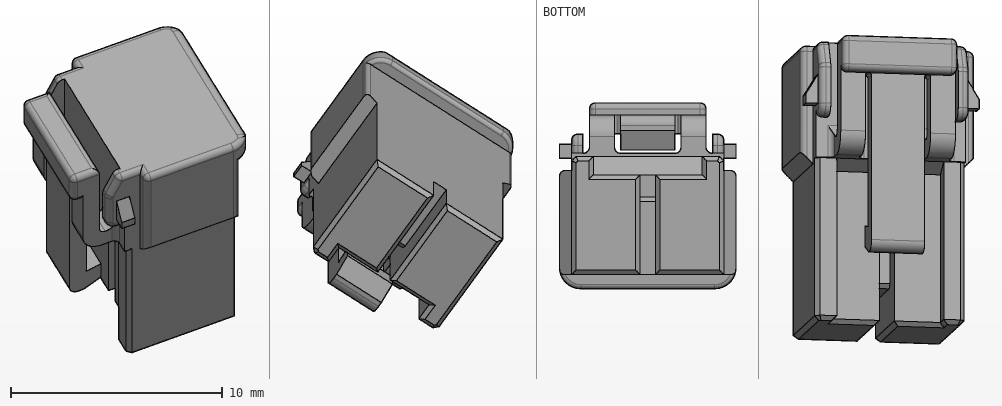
import cadquery as cq
import math

height = 13.3
total_width = 8.37
total_depth = 8.8
round_edge = 0.29
selection_margin = 0.01

plug_half_width = 3.6
plug_front = -5.59
plug_chamfer = 0.21
channel_half_width = 2.58
channel_floor = -4.72
channel_ceiling_drop = 0.48
key_slot_width = 0.72
key_slot_height = 1.98
key_pocket_height = 4.52
key_pocket_depth = 1.06

hood_bottom = 7.8
hood_half_width = total_width / 2
hood_front = -5.75
shoulder_front = -4.93
shoulder_step = hood_half_width - plug_half_width
shoulder_bottom = 7.6
lip_overhang = 0.68
lip_bottom = 12.12
lip_corner_radius = 1.01
lip_top_radius = 0.53
trim_corner_radius = 0.86
lip_edge_radius = 0.2
wing_inner = 3.07
wing_front = -6.65
wing_bottom = 9.71
wing_toe_radius = 0.53
wing_slope_bottom = 12.09
wing_slope_back = -6.05
wing_slope_top_radius = 0.29
wing_slope_foot_radius = 0.48

nub_root = wing_inner + round_edge / 2
nub_back = -5.49
nub_front = -6.17
nub_top = 11.69
nub_tip_top = 10.73
nub_bottom = 10.3

arm_back = -6.66
arm_front = -7.54
side_arm_inner = 1.57
side_arm_outer = 2.77
web_top = 8.7
web_outer_radius = 1.0
slot_arm_radius = 0.29
slot_wall_radius = hood_front - arm_back - slot_arm_radius
web_flare_radius = 0.28
head_front = lip_overhang - total_depth
head_bottom = 11.6
hook_width = 2.57
hook_half_width = hook_width / 2
hook_tip = -5.89
hook_tip_top = 4.51
hook_tip_bottom = 3.54
hook_throat = 4.35
hook_bottom = 3.1
hook_heel_radius = 0.48
hook_slope_end = -6.82
gap_end_radius = 0.12


def block(x0, x1, y0, y1, z0, z1):
    """Axis-aligned box between two corners."""
    return cq.Workplane("XY").box(x1 - x0, y1 - y0, z1 - z0, centered=False).translate((x0, y0, z0))


def side_plate(profile, x0, x1):
    """Extrude a closed YZ profile from x0 to x1."""
    return profile.extrude(x1 - x0).translate((x0, 0, 0))


def mirrored(shape):
    """A shape together with its reflection across X = 0."""
    return shape.union(shape.mirror("YZ"))


def arc_mid(center_u, center_v, radius, degrees):
    """Point on a circle, used as the middle of an arc."""
    angle = math.radians(degrees)
    return center_u + radius * math.cos(angle), center_v + radius * math.sin(angle)


def make_plug():
    """Lower block with its front channel and keying slot."""
    plug = block(-plug_half_width, plug_half_width, plug_front, 0, 0, hood_bottom)
    plug = plug.edges("|Z and <Y").chamfer(plug_chamfer)
    ceiling_back = hood_bottom - channel_ceiling_drop
    channel = cq.Workplane("YZ").polyline([
        (plug_front, 0),
        (plug_front, hood_bottom),
        (channel_floor, ceiling_back),
        (channel_floor, 0),
    ]).close()
    plug = plug.cut(side_plate(channel, -channel_half_width, channel_half_width))
    half_slot = key_slot_width / 2
    plug = plug.cut(block(-half_slot, half_slot, plug_front, 0, 0, key_slot_height))
    plug = plug.faces("<Z").edges().chamfer(plug_chamfer)
    pocket_back = channel_floor + key_pocket_depth
    pocket = cq.Workplane("YZ").polyline([
        (channel_floor, key_slot_height),
        (channel_floor, key_pocket_height),
        (pocket_back, key_pocket_height),
        (pocket_back, key_slot_height + plug_chamfer),
        (pocket_back + plug_chamfer, key_slot_height),
    ]).close()
    return plug.cut(side_plate(pocket, -half_slot, half_slot))


def make_shoulders():
    """Wide part of the hood, with the rear lip overhanging the back wall."""
    plan = block(-hood_half_width, hood_half_width, shoulder_front, lip_overhang, shoulder_bottom, height)
    plan = plan.edges("|Z and >Y").fillet(lip_corner_radius)
    plan = plan.edges("|Z and <Y").fillet(round_edge)
    section = cq.Workplane("XZ").polyline([
        (-hood_half_width, height),
        (-hood_half_width, shoulder_bottom + shoulder_step),
        (-plug_half_width, shoulder_bottom),
        (plug_half_width, shoulder_bottom),
        (hood_half_width, shoulder_bottom + shoulder_step),
        (hood_half_width, height),
    ]).close().extrude(2 * height, both=True)
    rounded_block = plan.intersect(section)
    main_part = rounded_block.intersect(
        block(-hood_half_width, hood_half_width, shoulder_front, 0, shoulder_bottom, height)
    )
    main_part = main_part.edges("|Z and >Y").fillet(lip_edge_radius)
    corner_start = lip_overhang - lip_corner_radius
    lip = rounded_block.intersect(
        block(-hood_half_width, hood_half_width, corner_start, lip_overhang, lip_bottom, height)
    )
    lip = lip.faces("<Z").edges("not(<Y)").fillet(lip_edge_radius)
    return main_part.union(lip)


def make_hood():
    """Shoulders, wings and wall above the plug, with rounded outer edges."""
    toe = arc_mid(wing_front + wing_toe_radius, wing_bottom + wing_toe_radius, wing_toe_radius, 225)
    profile = (
        cq.Workplane("YZ")
        .moveTo(0, hood_bottom)
        .lineTo(hood_front, hood_bottom)
        .lineTo(hood_front, wing_bottom)
        .lineTo(wing_front + wing_toe_radius, wing_bottom)
        .threePointArc(toe, (wing_front, wing_bottom + wing_toe_radius))
        .lineTo(wing_front, wing_slope_bottom)
        .lineTo(wing_slope_back, height)
        .lineTo(0, height)
        .close()
    )
    core = side_plate(profile, -plug_half_width, plug_half_width)
    slope_top = cq.selectors.NearestToPointSelector((0, wing_slope_back, height))
    slope_foot = cq.selectors.NearestToPointSelector((0, wing_front, wing_slope_bottom))
    core = core.edges("|X").edges(slope_top).fillet(wing_slope_top_radius)
    core = core.edges("|X").edges(slope_foot).fillet(wing_slope_foot_radius)
    hood = core.union(make_shoulders())
    wing_zone = cq.selectors.BoxSelector(
        (-hood_half_width, wing_front - selection_margin, wing_bottom - selection_margin),
        (hood_half_width, hood_front - selection_margin, height + selection_margin),
    )
    top_rim = hood.faces(">Z").edges("not(<Y)")
    wing_rim = hood.edges(wing_zone).edges("not(|X)")
    hood = top_rim.add(wing_rim).fillet(round_edge)
    trim_half_width = hood_half_width + lip_top_radius - round_edge
    trim = block(-trim_half_width, trim_half_width, wing_front, lip_overhang, 0, height)
    trim = trim.edges("|Z and >Y").fillet(trim_corner_radius)
    trim = trim.faces(">Z").edges("not(<Y)").fillet(lip_top_radius)
    hood = hood.intersect(trim)
    return hood.cut(block(-wing_inner, wing_inner, wing_front, hood_front, 0, height))


def make_nub():
    """Wedge on the +X wing."""
    wedge = cq.Workplane("XZ").polyline([
        (nub_root, nub_bottom),
        (hood_half_width, nub_bottom),
        (hood_half_width, nub_tip_top),
        (plug_half_width, nub_top),
        (nub_root, nub_top),
    ]).close()
    return wedge.extrude(nub_back - nub_front).translate((0, nub_back, 0))


def make_side_arm():
    """J-shaped arm on the +X side: a web out of the hood wall that turns up to the head."""
    outer = arc_mid(arm_front + web_outer_radius, hood_bottom + web_outer_radius, web_outer_radius, 225)
    arm_side = arc_mid(arm_back + slot_arm_radius, web_top + slot_arm_radius, slot_arm_radius, 225)
    wall_side = arc_mid(hood_front - slot_wall_radius, web_top + slot_wall_radius, slot_wall_radius, 315)
    profile = (
        cq.Workplane("YZ")
        .moveTo(hood_front, hood_bottom)
        .lineTo(arm_front + web_outer_radius, hood_bottom)
        .threePointArc(outer, (arm_front, hood_bottom + web_outer_radius))
        .lineTo(arm_front, head_bottom)
        .lineTo(arm_back, head_bottom)
        .lineTo(arm_back, web_top + slot_arm_radius)
        .threePointArc(arm_side, (arm_back + slot_arm_radius, web_top))
        .threePointArc(wall_side, (hood_front, web_top + slot_wall_radius))
        .close()
    )
    inner_wall = side_arm_inner - web_flare_radius
    outer_wall = side_arm_outer + web_flare_radius
    flare_end = hood_front - web_flare_radius
    inner_flare = arc_mid(inner_wall, flare_end, web_flare_radius, 45)
    outer_flare = arc_mid(outer_wall, flare_end, web_flare_radius, 135)
    plan = (
        cq.Workplane("XY")
        .moveTo(inner_wall, hood_front)
        .threePointArc(inner_flare, (side_arm_inner, flare_end))
        .lineTo(side_arm_inner, arm_front)
        .lineTo(side_arm_outer, arm_front)
        .lineTo(side_arm_outer, flare_end)
        .threePointArc(outer_flare, (outer_wall, hood_front))
        .close()
        .extrude(height)
    )
    return side_plate(profile, 0, plug_half_width).intersect(plan)


def make_hook_arm():
    """Central arm hanging from the head, with a hook pointing back at the plug."""
    heel = arc_mid(arm_front + hook_heel_radius, hook_bottom + hook_heel_radius, hook_heel_radius, 225)
    profile = (
        cq.Workplane("YZ")
        .moveTo(arm_back, head_bottom)
        .lineTo(arm_back, hook_throat)
        .lineTo(hook_tip, hook_tip_top)
        .lineTo(hook_tip, hook_tip_bottom)
        .lineTo(hook_slope_end, hook_bottom)
        .lineTo(arm_front + hook_heel_radius, hook_bottom)
        .threePointArc(heel, (arm_front, hook_bottom + hook_heel_radius))
        .lineTo(arm_front, head_bottom)
        .close()
    )
    return side_plate(profile, -hook_half_width, hook_half_width)


def make_latch():
    """Arms and hook joined by the finger head, which overhangs the arms at the front."""
    head = block(-side_arm_outer, side_arm_outer, head_front, arm_back, head_bottom, height)
    arms = mirrored(make_side_arm()).union(make_hook_arm())
    latch = arms.union(head)
    lower_front = cq.selectors.BoxSelector(
        (-side_arm_outer - selection_margin, head_front - selection_margin, head_bottom - selection_margin),
        (side_arm_outer + selection_margin, arm_front - selection_margin, height - selection_margin),
    )
    rim = latch.faces(">Z").edges().add(latch.edges(lower_front))
    latch = rim.fillet(round_edge)
    gap_ends = cq.selectors.BoxSelector(
        (-side_arm_inner - selection_margin, arm_front - selection_margin, head_bottom - selection_margin),
        (side_arm_inner + selection_margin, arm_back + selection_margin, head_bottom + selection_margin),
    )
    return latch.edges("|Y").edges(gap_ends).fillet(gap_end_radius)


result = make_plug().union(make_hood()).union(mirrored(make_nub())).union(make_latch())